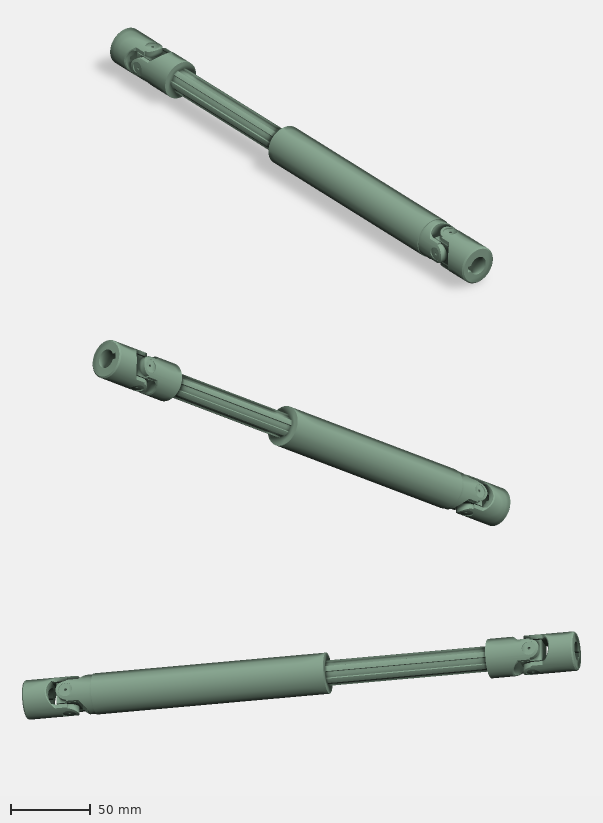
import cadquery as cq

total_length = 355.0
joint_length = 56.0
yoke_reach = joint_length / 2
left_joint_x = yoke_reach
right_joint_x = total_length - yoke_reach

yoke_diameter = 25.0
arm_width = 14.2
tip_diameter = 12.5
slot_width = 15.3
slot_end_radius = 12.5
taper_start = 7.8
end_chamfer = 0.9

bore_diameter = 12.0
keyway_width = 4.0
keyway_reach = 8.0

block_size = 14.0
pin_diameter = 9.0
pin_span = 23.0
center_hole_diameter = 1.8
center_hole_depth = 1.8

spline_count = 6
spline_outer_diameter = 16.0
spline_root_diameter = 14.0
spline_width = 3.5
spline_end_x = 284.0
sleeve_diameter = 26.0
sleeve_start_x = 160.5
sleeve_end_x = 310.3


def cylinder_x(diameter, start, end):
    return cq.Workplane("YZ").workplane(offset=start).circle(diameter / 2).extrude(end - start)


def cylinder_z(diameter, height):
    """Cylinder on the Z axis, centred on the origin."""
    return cq.Workplane("XY").circle(diameter / 2).extrude(height / 2, both=True)


def arm_outline():
    """Plan of a yoke: full-width hub, 45 degree flanks, parallel arm with a round tip."""
    hub_half = yoke_diameter / 2
    arm_half = arm_width / 2
    tip_radius = tip_diameter / 2
    flank_end = -taper_start - (hub_half - arm_half)
    return (
        cq.Workplane("XY")
        .moveTo(-yoke_reach, -hub_half)
        .lineTo(flank_end, -hub_half)
        .lineTo(-taper_start, -arm_half)
        .lineTo(0, -arm_half)
        .lineTo(0, -tip_radius)
        .threePointArc((tip_radius, 0), (0, tip_radius))
        .lineTo(0, arm_half)
        .lineTo(-taper_start, arm_half)
        .lineTo(flank_end, hub_half)
        .lineTo(-yoke_reach, hub_half)
        .close()
        .extrude(yoke_diameter, both=True)
    )


def make_yoke():
    """Yoke with its joint centre at the origin, hub towards -X and arms at +Z and -Z."""
    round_bar = cylinder_x(yoke_diameter, -yoke_reach, arm_width)
    slot_end = cq.Workplane("XZ").circle(slot_end_radius).extrude(yoke_diameter, both=True)
    slot = cq.Workplane("XY").box(2 * yoke_reach, 2 * yoke_diameter, slot_width).intersect(slot_end)
    pin_hole = cylinder_z(pin_diameter, 2 * yoke_diameter)
    return round_bar.intersect(arm_outline()).cut(slot).cut(pin_hole)


def make_outer_yoke():
    """Yoke with a keyed bore that opens into the slot, keyway on the -Y side."""
    bore = cylinder_x(bore_diameter, -yoke_reach, 0)
    keyway = cq.Workplane("XY").box(yoke_reach, keyway_reach, keyway_width, centered=(False, False, True))
    keyway = keyway.translate((-yoke_reach, -keyway_reach, 0))
    return make_yoke().faces("<X").edges().chamfer(end_chamfer).cut(bore).cut(keyway)


def make_cross():
    """Cubic block with four pins along Y and Z, each with a centre hole."""
    cross = cq.Workplane("XY").box(block_size, block_size, block_size)
    pins = cylinder_z(pin_diameter, pin_span)
    drill = (
        cq.Workplane("XY").workplane(offset=pin_span / 2 - center_hole_depth)
        .circle(center_hole_diameter / 2).extrude(center_hole_depth)
    )
    cross = cross.union(pins).union(pins.rotate((0, 0, 0), (1, 0, 0), 90))
    for quarter in range(4):
        cross = cross.cut(drill.rotate((0, 0, 0), (1, 0, 0), 90 * quarter))
    return cross


def spline_bar(start, end):
    """Straight-sided splined bar along X with teeth at +Y and -Y."""
    core = cylinder_x(spline_root_diameter, start, end)
    envelope = cylinder_x(spline_outer_diameter, start, end)
    for index in range(spline_count // 2):
        tooth_pair = (
            cq.Workplane("YZ").workplane(offset=start)
            .rect(2 * spline_outer_diameter, spline_width).extrude(end - start)
            .rotate((0, 0, 0), (1, 0, 0), 360 / spline_count * index)
        )
        core = core.union(tooth_pair.intersect(envelope))
    return core


def face_minus_x(body):
    return body.rotate((0, 0, 0), (0, 0, 1), 180)


def quarter_turn(body):
    return body.rotate((0, 0, 0), (1, 0, 0), 90)


left_yoke = make_outer_yoke().translate((left_joint_x, 0, 0))
right_yoke = make_outer_yoke().mirror("YZ").translate((right_joint_x, 0, 0))

spline_yoke = quarter_turn(face_minus_x(make_yoke())).translate((left_joint_x, 0, 0))
spline_shaft = spline_yoke.union(spline_bar(joint_length, spline_end_x))

sleeve_yoke = quarter_turn(make_yoke()).translate((right_joint_x, 0, 0))
sleeve_tube = cylinder_x(sleeve_diameter, sleeve_start_x, sleeve_end_x)
sleeve = sleeve_yoke.union(sleeve_tube).cut(spline_bar(sleeve_start_x, spline_end_x))

crosses = [make_cross().translate((x, 0, 0)) for x in (left_joint_x, right_joint_x)]

result = cq.Compound.makeCompound(
    [left_yoke.val(), right_yoke.val(), spline_shaft.val(), sleeve.val()]
    + [cross.val() for cross in crosses]
)